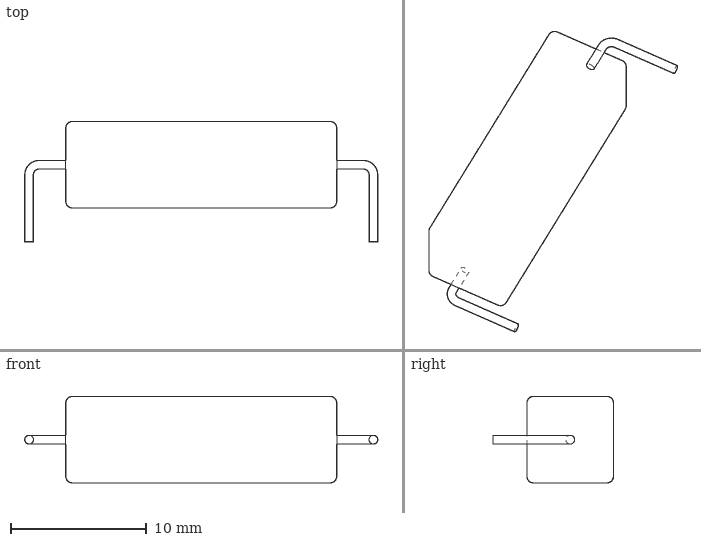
import cadquery as cq

body_length = 20.0
body_side = 6.4
edge_radius = 0.5

wire_diameter = 0.65
lead_pitch = 25.4
bend_radius = 0.75
leg_overhang = 2.5
embed_depth = 1.0

leg_x = lead_pitch / 2
leg_end_y = -(body_side / 2 + leg_overhang)
wire_start_x = body_length / 2 - embed_depth


def make_body():
    block = cq.Workplane("XY").box(body_length, body_side, body_side)
    return block.edges().fillet(edge_radius)


def make_right_lead():
    """Bent wire on the +X end, swept along its centreline."""
    centreline = (
        cq.Workplane("XY")
        .moveTo(wire_start_x, 0)
        .lineTo(leg_x - bend_radius, 0)
        .radiusArc((leg_x, -bend_radius), bend_radius)
        .lineTo(leg_x, leg_end_y)
    )
    section = cq.Workplane("YZ", origin=(wire_start_x, 0, 0)).circle(wire_diameter / 2)
    return section.sweep(centreline)


right_lead = make_right_lead()
left_lead = right_lead.mirror("YZ")
result = make_body().union(right_lead).union(left_lead)